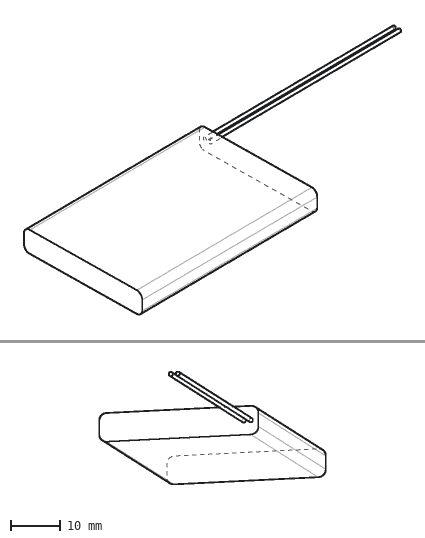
import cadquery as cq

total_length = 105.8
body_width = 33.5
body_height = 5.9

body_length = 50.8
edge_radius = 1.6

wire_diameter = 0.88
wire_spacing = 1.5
first_wire_inset = 1.6
wire_length = total_length - body_length


def make_body():
    """Flat block centred on X and Z, with its front face at Y = 0."""
    block = cq.Workplane("XY").box(body_width, body_length, body_height, centered=(True, False, True))
    return block.edges("|Y").fillet(edge_radius)


def make_wire(x):
    """Round wire at mid height, running along +Y from the back face."""
    back_plane = cq.Plane(origin=(x, body_length, 0), xDir=(1, 0, 0), normal=(0, 1, 0))
    return cq.Workplane(back_plane).circle(wire_diameter / 2).extrude(wire_length)


first_wire_x = -body_width / 2 + first_wire_inset

result = make_body()
for wire_x in (first_wire_x, first_wire_x + wire_spacing):
    result = result.union(make_wire(wire_x))